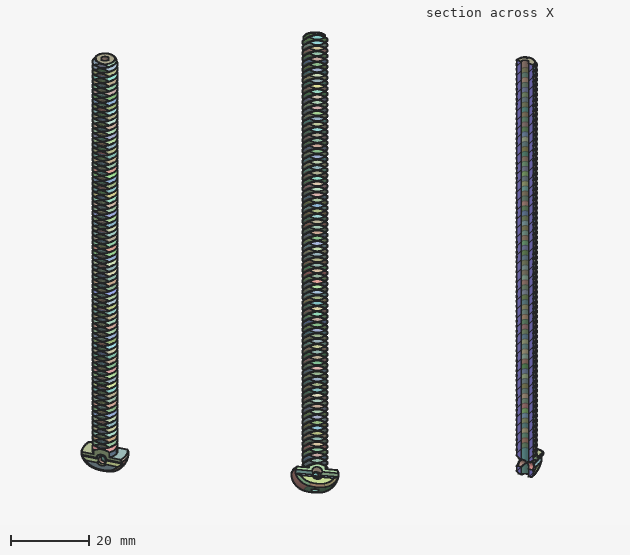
import cadquery as cq
import math

total_length = 125.6
head_diameter = 12.2
body_width = 5.0

rim_height = 4.5
head_top = 5.1
head_top_diameter = 11.5
belly_radius = 10.3
belly_angle = math.radians(15.5)
dome_bevel = 0.6

shank_diameter = 6.5
root_diameter = 4.6
tip_diameter = 5.0
tip_chamfer = 0.8
neck_top = 6.2
thread_turns = 79.7
crest_width = 0.005
root_width = 0.005
pitch = (total_length - neck_top) / thread_turns

hole_diameter = 2.0
cross_hole_height = 3.5
mouth_width = 2.8
mouth_bottom = 2.1
mouth_top = 5.5
mouth_depth = 1.0
mouth_taper = 45
groove_depth = 0.6
groove_half_height = 0.8

blank_turns = 3
middle_turns = 77
lower_joint = neck_top + 1.25 * pitch
upper_joint = lower_joint + middle_turns * pitch
tolerance = 0.001


def cylinder(diameter, bottom, top):
    return cq.Workplane("XY").workplane(offset=bottom).circle(diameter / 2).extrude(top - bottom)


def slice_between(body, bottom, top):
    return body.intersect(cylinder(2 * head_diameter, bottom, top))


def flatten(body):
    """Keep what lies between the two flats."""
    return body.intersect(cq.Workplane("XY").box(2 * head_diameter, body_width, 4 * total_length))


def bore(body):
    return body.cut(cylinder(hole_diameter, -pitch, total_length + pitch))


def thread_groove(start, turns):
    """Cutter for a right-hand V groove; it opens slightly outside the shank."""
    flank_slope = (pitch - crest_width - root_width) / (shank_diameter - root_diameter)
    overshoot = crest_width / 4
    outer_radius = shank_diameter / 2 + overshoot
    outer_half = (pitch - crest_width) / 2 + overshoot * flank_slope
    corners = [
        (root_diameter / 2, -root_width / 2),
        (outer_radius, -outer_half),
        (outer_radius, outer_half),
        (root_diameter / 2, root_width / 2),
    ]
    helices = [
        cq.Wire.makeHelix(pitch, turns * pitch, radius).translate(cq.Vector(0, 0, start + height))
        for radius, height in corners
    ]
    faces = []
    for lower, upper in zip(helices, helices[1:] + helices[:1]):
        faces += cq.Face.makeRuledSurface(lower, upper).Faces()
    for ends in ([h.startPoint() for h in helices], [h.endPoint() for h in helices]):
        faces.append(cq.Face.makeFromWires(cq.Wire.makePolygon(ends, close=True)))
    return cq.Workplane(cq.Solid.makeSolid(cq.Shell.makeShell(faces)))


def threaded_blank(start):
    """Plain shank with a few turns of thread groove in its middle."""
    blank = cylinder(shank_diameter, start - 2 * pitch, start + (blank_turns + 2) * pitch)
    return blank.cut(thread_groove(start, blank_turns))


def head():
    """Domed head of two tangent arcs, with a slightly tapered rim; the bore's edge is its lowest part."""
    bore_radius = hole_diameter / 2
    sink = belly_radius - math.sqrt(belly_radius**2 - bore_radius**2)
    belly = [
        (belly_radius * math.sin(angle), belly_radius * (1 - math.cos(angle)) - sink)
        for angle in (belly_angle / 2, belly_angle)
    ]
    return (
        cq.Workplane("XZ")
        .moveTo(0, head_top)
        .lineTo(0, -sink)
        .threePointArc(*belly)
        .tangentArcPoint((head_diameter / 2, rim_height), relative=False)
        .lineTo(head_top_diameter / 2, head_top)
        .close()
        .revolve(360, (0, 0, 0), (0, 1, 0))
    )


def bevelled_head():
    """Flattened head; below the cross hole, the edges between dome and flats are bevelled."""
    body = flatten(head())
    dome_edges = cq.selectors.BoxSelector(
        (-head_diameter, -body_width, -1.3),
        (head_diameter, body_width, rim_height - dome_bevel),
    )
    bevelled = body.edges("<Y or >Y").edges(dome_edges).chamfer(dome_bevel)
    lower = slice_between(bevelled, -1.3, cross_hole_height)
    upper = slice_between(body, cross_hole_height, head_top + 1.3)
    return lower.union(upper)


def cut_wire_grooves(body):
    """V groove along X on each flat, level with the cross hole."""
    for side in (1, -1):
        section = [(0, groove_half_height), (0, -groove_half_height), (-side * groove_depth, 0)]
        flat = side * body_width / 2
        groove = cq.Workplane("YZ", origin=(-head_diameter, flat, cross_hole_height)).polyline(section).close()
        body = body.cut(groove.extrude(2 * head_diameter))
    return body


def cut_cross_hole(body):
    """Hole along Y with a tapered mouth on each flat, stretched towards the shank."""
    flat = body_width / 2
    hole = cq.Workplane("XZ", origin=(0, flat, cross_hole_height)).circle(hole_diameter / 2).extrude(body_width)
    body = body.cut(hole)
    for side in (1, -1):
        centre = (0, side * flat, (mouth_top + mouth_bottom) / 2)
        plane = cq.Plane(origin=centre, xDir=(0, 0, 1), normal=(0, -side, 0))
        mouth = cq.Workplane(plane).slot2D(mouth_top - mouth_bottom, mouth_width)
        body = body.cut(mouth.extrude(mouth_depth, taper=mouth_taper))
    return body


def make_foot():
    """Head, plain neck and the first turn of the thread."""
    shank = flatten(slice_between(threaded_blank(neck_top), head_top / 2, lower_joint))
    return cut_cross_hole(bore(cut_wire_grooves(shank.union(bevelled_head()))))


def make_turn():
    """One pitch of the flattened and bored thread."""
    return bore(flatten(slice_between(threaded_blank(neck_top), lower_joint, lower_joint + pitch)))


def make_tip():
    """Last part of the thread, with a chamfered end."""
    outline = cylinder(shank_diameter, total_length - blank_turns * pitch, total_length)
    outline = outline.faces(">Z").chamfer(tip_chamfer, (shank_diameter - tip_diameter) / 2)
    thread = slice_between(threaded_blank(neck_top + middle_turns * pitch), upper_joint, total_length + pitch)
    return bore(flatten(thread.intersect(outline)))


def outer_faces(piece, joints):
    """Faces of a piece without the flat ones lying at the joint levels."""
    kept = []
    for face in piece.faces().vals():
        is_level = face.BoundingBox().zlen < tolerance
        at_joint = any(abs(face.Center().z - level) < tolerance for level in joints)
        if not (is_level and at_joint):
            kept.append(face)
    return kept


skin = outer_faces(make_foot(), [lower_joint]) + outer_faces(make_tip(), [upper_joint])
turn_faces = outer_faces(make_turn(), [lower_joint, lower_joint + pitch])
for index in range(middle_turns):
    rise = cq.Vector(0, 0, index * pitch)
    skin += [face.translate(rise) for face in turn_faces]

result = cq.Workplane(cq.Solid.makeSolid(cq.Shell.makeShell(skin)))